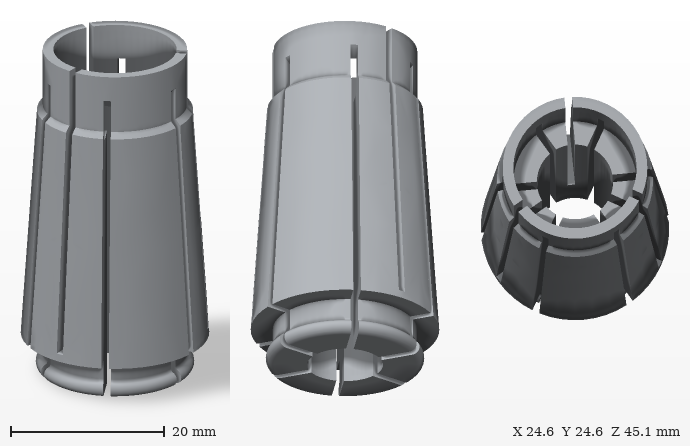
import cadquery as cq
import math

length = 45.1
bore_radius = 4.95
counterbore_radius = 8.05
counterbore_floor = 35.65

collar_radius = 9.43
cone_base_radius = 24.6 / 2
cone_base_z = 5.05
cone_top_radius = 20.35 / 2
cone_top_z = 36.6
collar_z = cone_top_z + (cone_top_radius - collar_radius)

bead_radius = 1.0
bead_outer_radius = 10.35
neck_fillet_z = 2.35

slot_width = 1.0
upper_slot_angles = (60, 180, 300)
lower_slot_angles = (30, 90, 150, 210, 270, 330)
slot_inner_radius = 1.35
slot_outer_radius = 13.55
end_margin = 2.25
upper_slot_end_z = 6.1
upper_slot_cutter = 10.82
lower_slot_end_z = 41.7
lower_slot_cutter = 23.45


def make_body():
    """Revolve the half section of the unslotted sleeve about Z."""
    bead_x = bead_outer_radius - bead_radius
    bead_z = bead_radius
    offset = collar_radius - bead_x
    rise = neck_fillet_z - bead_z
    fillet = (rise**2 + offset**2 - bead_radius**2) / (2 * (bead_radius - offset))
    fillet_x = collar_radius + fillet
    tangent_angle = math.atan2(rise, fillet_x - bead_x)
    tangent_point = (
        bead_x + bead_radius * math.cos(tangent_angle),
        bead_z + bead_radius * math.sin(tangent_angle),
    )
    fillet_mid_angle = math.pi + tangent_angle / 2
    fillet_mid = (
        fillet_x + fillet * math.cos(fillet_mid_angle),
        neck_fillet_z + fillet * math.sin(fillet_mid_angle),
    )
    return (
        cq.Workplane("XZ")
        .moveTo(bore_radius, 0)
        .lineTo(bead_x, 0)
        .threePointArc((bead_outer_radius, bead_z), tangent_point)
        .threePointArc(fillet_mid, (collar_radius, neck_fillet_z))
        .lineTo(collar_radius, cone_base_z)
        .lineTo(cone_base_radius, cone_base_z)
        .lineTo(cone_top_radius, cone_top_z)
        .lineTo(collar_radius, collar_z)
        .lineTo(collar_radius, length)
        .lineTo(counterbore_radius, length)
        .lineTo(counterbore_radius, counterbore_floor)
        .lineTo(bore_radius, counterbore_floor)
        .close()
        .revolve(360, (0, 0, 0), (0, 1, 0))
    )


def make_slot(angle, open_z, end_z, end_radius, cutter_radius):
    """Radial slot running from open_z to an arc that passes end_z at end_radius."""
    direction = math.copysign(1, end_z - open_z)
    cutter_x = slot_inner_radius + cutter_radius

    def arc_height(x):
        return math.sqrt(cutter_radius**2 - (cutter_x - x) ** 2)

    cutter_z = end_z - direction * arc_height(end_radius)

    def end_point(x):
        return (x, cutter_z + direction * arc_height(x))

    middle_radius = (slot_inner_radius + slot_outer_radius) / 2
    return (
        cq.Workplane("XZ")
        .moveTo(slot_inner_radius, open_z)
        .lineTo(*end_point(slot_inner_radius))
        .threePointArc(end_point(middle_radius), end_point(slot_outer_radius))
        .lineTo(slot_outer_radius, open_z)
        .close()
        .extrude(slot_width / 2, both=True)
        .rotate((0, 0, 0), (0, 0, 1), angle)
    )


result = make_body()
for angle in upper_slot_angles:
    result = result.cut(
        make_slot(angle, length + end_margin, upper_slot_end_z, cone_base_radius, upper_slot_cutter)
    )
for angle in lower_slot_angles:
    result = result.cut(
        make_slot(angle, -end_margin, lower_slot_end_z, collar_radius, lower_slot_cutter)
    )